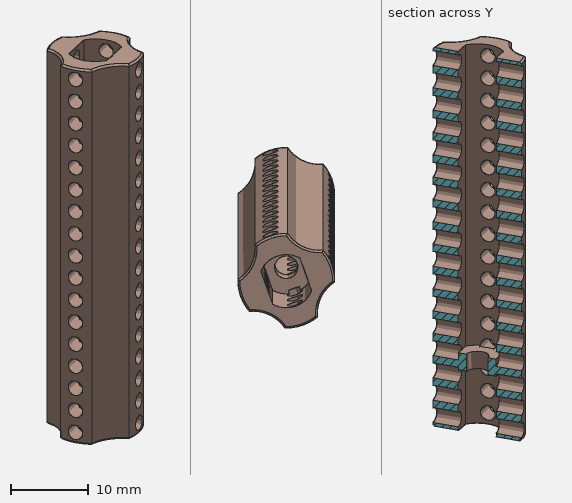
import cadquery as cq
import math

length = 53.1
outer_diameter = 12.5
outer_radius = outer_diameter / 2
edge_chamfer = 0.25

lobe_width = 4.45
groove_diagonal = 5.0

hole_count = 17
hole_diameter = 2.0
hole_pitch = length / hole_count
hole_levels = [(index + 0.5) * hole_pitch for index in range(hole_count)]

socket_radius = 3.5
socket_flat_width = 5.3
bore_diameter = 3.0
web_top = hole_levels[3]
web_bottom = 8.5
hole_end_on_x = socket_flat_width / 2
hole_end_on_y = 3.0


def make_body():
    """Lobed bar with chamfered ends."""
    corner_near = lobe_width / 2
    corner_far = math.sqrt(outer_radius**2 - corner_near**2)
    groove_middle = groove_diagonal / math.sqrt(2)

    def turned(x, y, quarter_turns):
        """Rotate a point about the axis by a number of quarter turns."""
        for _ in range(quarter_turns):
            x, y = -y, x
        return x, y

    outline = cq.Workplane("XY").moveTo(corner_far, -corner_near)
    for turn in range(4):
        outline = outline.threePointArc(
            turned(outer_radius, 0, turn), turned(corner_far, corner_near, turn)
        ).threePointArc(
            turned(groove_middle, groove_middle, turn), turned(corner_near, corner_far, turn)
        )
    return outline.close().extrude(length).faces("<Z or >Z").chamfer(edge_chamfer)


def make_socket(bottom, top):
    """Round socket with two flats facing +X and -X."""
    height = top - bottom
    base = cq.Workplane("XY").workplane(offset=bottom)
    flats = base.rect(socket_flat_width, 2 * socket_radius).extrude(height)
    return base.circle(socket_radius).extrude(height).intersect(flats)


def make_hole_row(angle, inner_end):
    """Column of radial holes entering one lobe and stopping at inner_end from the axis."""
    centers = [(0, level) for level in hole_levels]
    row = (
        cq.Workplane("YZ")
        .workplane(offset=inner_end)
        .pushPoints(centers)
        .circle(hole_diameter / 2)
        .extrude(outer_radius - inner_end)
    )
    return row.rotate((0, 0, 0), (0, 0, 1), angle)


result = make_body()
result = result.cut(make_socket(web_top, length))
result = result.cut(make_socket(0, web_bottom))
result = result.cut(cq.Workplane("XY").circle(bore_diameter / 2).extrude(length))
for angle in (0, 180):
    result = result.cut(make_hole_row(angle, hole_end_on_x))
for angle in (90, 270):
    result = result.cut(make_hole_row(angle, hole_end_on_y))